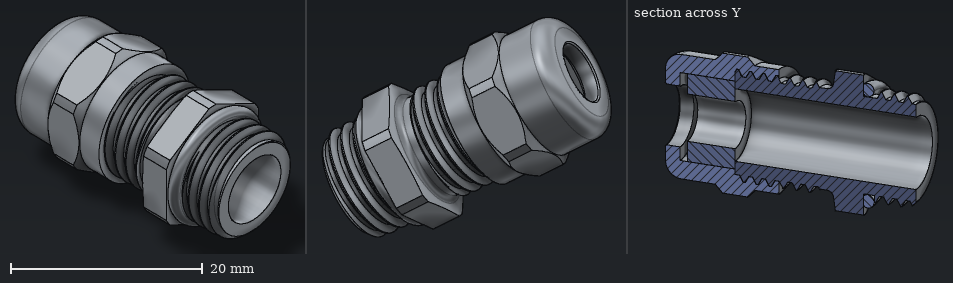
import cadquery as cq
import math


PITCH = 1.5
ROOT_RADIUS = 10.88 / 2
CREST_RADIUS = 12.4 / 2
CREST_FLAT = 0.15
FLANK_ANGLE = math.radians(30)
CREST_AT_BOTTOM = 15.05
TOOTH_OVERLAP = 0.15

ACROSS_FLATS = 14.0
CORNER_RADIUS = 15.58 / 2

NUT_LENGTH = 13.05
NUT_RADIUS = 13.88 / 2
NOSE_FILLET = 1.85
NUT_HEX_START = 5.73
NUT_HEX_END = 10.3
LIP_THICKNESS = 1.75
MOUTH_RADIUS = 6.7 / 2
MOUTH_CHAMFER = 0.17

SEAL_START = 2.54
SEAL_RADIUS = 9.7 / 2
SEAL_BORE_RADIUS = 5.2 / 2

BODY_START = 8.05
BODY_END = 28.81
BODY_BORE_RADIUS = 8.0 / 2
COLLAR_START = 17.72
COLLAR_RADIUS = 11.33 / 2
COLLAR_FILLET_START = 18.57
COLLAR_FILLET = 0.7
HEX_FACE_TILT = math.radians(8.5)
HEX_END = 22.78

CORD_RADIUS = 0.75
RING_MEAN_RADIUS = ROOT_RADIUS + CORD_RADIUS
RING_CENTER = 23.22
RING_END = RING_CENTER + CORD_RADIUS


def revolve_about_x(profile):
    """Turn a closed (X, radius) profile about the X axis."""
    return profile.revolve(360, (0, 0, 0), (1, 0, 0))


def cylinder(start, end, radius):
    return cq.Workplane("YZ", origin=(start, 0, 0)).circle(radius).extrude(end - start)


def hexagon(start, end):
    """Hexagonal prism along X with flats facing +Y and -Y and corners on +Z and -Z."""
    corners_to_flats = 2 / math.sqrt(3)
    prism = cq.Workplane("YZ", origin=(start, 0, 0)).polygon(6, ACROSS_FLATS * corners_to_flats)
    return prism.extrude(end - start).rotate((0, 0, 0), (1, 0, 0), 90)


def threaded_rod(start, end):
    """Core with a right-hand thread along X, cut square at both ends."""
    turns_before_start = math.ceil((CREST_AT_BOTTOM - start) / PITCH) + 1
    helix_start = CREST_AT_BOTTOM - turns_before_start * PITCH
    helix_length = (math.ceil((end - helix_start) / PITCH) + 1) * PITCH
    base_radius = ROOT_RADIUS - TOOTH_OVERLAP
    half_crest = CREST_FLAT / 2
    half_base = half_crest + (CREST_RADIUS - base_radius) * math.tan(FLANK_ANGLE)

    tooth = (
        cq.Workplane("XZ")
        .moveTo(base_radius, -half_base)
        .lineTo(CREST_RADIUS, -half_crest)
        .lineTo(CREST_RADIUS, half_crest)
        .lineTo(base_radius, half_base)
        .close()
        .sweep(cq.Workplane(cq.Wire.makeHelix(PITCH, helix_length, base_radius)), isFrenet=True)
        .translate((0, 0, helix_start))
    )
    core = (
        cq.Workplane("XY", origin=(0, 0, helix_start - PITCH))
        .circle(ROOT_RADIUS)
        .extrude(helix_length + 2 * PITCH)
    )
    span = cq.Workplane("XY", origin=(0, 0, start)).circle(CORNER_RADIUS).extrude(end - start)
    return core.union(tooth).intersect(span).rotate((0, 0, 0), (0, 1, 0), 90)


def make_gland_body():
    inner_thread = threaded_rod(BODY_START, COLLAR_START)

    run_out = cylinder(HEX_END, BODY_END, CORNER_RADIUS).faces(">X").chamfer(CORNER_RADIUS - ROOT_RADIUS)
    outer_thread = threaded_rod(RING_END, BODY_END).intersect(run_out)
    ring_seat = cylinder(HEX_END, RING_END, ROOT_RADIUS)

    def on_fillet(angle):
        x = COLLAR_FILLET_START + COLLAR_FILLET * math.sin(angle)
        return x, COLLAR_RADIUS + COLLAR_FILLET * (1 - math.cos(angle))

    fillet_sweep = math.pi / 2 - HEX_FACE_TILT
    fillet_end = on_fillet(fillet_sweep)
    cone_end = fillet_end[0] + (CORNER_RADIUS - fillet_end[1]) * math.tan(HEX_FACE_TILT)
    flange = revolve_about_x(
        cq.Workplane("XY")
        .moveTo(COLLAR_START, 0)
        .lineTo(COLLAR_START, COLLAR_RADIUS)
        .lineTo(COLLAR_FILLET_START, COLLAR_RADIUS)
        .threePointArc(on_fillet(fillet_sweep / 2), fillet_end)
        .lineTo(cone_end, CORNER_RADIUS)
        .lineTo(HEX_END, CORNER_RADIUS)
        .lineTo(HEX_END, 0)
        .close()
    ).intersect(hexagon(COLLAR_START, HEX_END))

    bore = cylinder(BODY_START, BODY_END, BODY_BORE_RADIUS)
    return inner_thread.union(flange).union(ring_seat).union(outer_thread).cut(bore)


def make_cap_nut():
    barrel = cylinder(0, NUT_LENGTH, NUT_RADIUS).faces("<X").edges().fillet(NOSE_FILLET)
    corner_chamfer = CORNER_RADIUS - NUT_RADIUS
    hex_ring = (
        cylinder(NUT_HEX_START, NUT_HEX_END, CORNER_RADIUS)
        .edges()
        .chamfer(corner_chamfer)
        .intersect(hexagon(NUT_HEX_START, NUT_HEX_END))
    )
    mouth = cylinder(0, LIP_THICKNESS, MOUTH_RADIUS)
    seal_seat = cylinder(LIP_THICKNESS, BODY_START, SEAL_RADIUS)
    thread_bore = threaded_rod(BODY_START, NUT_LENGTH)
    nut = barrel.union(hex_ring).cut(mouth).cut(seal_seat)
    mouth_edge = nut.faces("<X").edges(cq.selectors.RadiusNthSelector(0))
    return mouth_edge.chamfer(MOUTH_CHAMFER).cut(thread_bore)


def make_seal():
    return cylinder(SEAL_START, BODY_START, SEAL_RADIUS).cut(
        cylinder(SEAL_START, BODY_START, SEAL_BORE_RADIUS)
    )


def make_o_ring():
    cord = cq.Workplane("XY").moveTo(RING_CENTER, RING_MEAN_RADIUS).circle(CORD_RADIUS)
    envelope = cylinder(HEX_END, RING_END, RING_MEAN_RADIUS + 2 * CORD_RADIUS)
    return revolve_about_x(cord).intersect(envelope)


gland_body = make_gland_body()
cap_nut = make_cap_nut()
seal = make_seal()
o_ring = make_o_ring()

result = cq.Compound.makeCompound([cap_nut.val(), seal.val(), gland_body.val(), o_ring.val()])